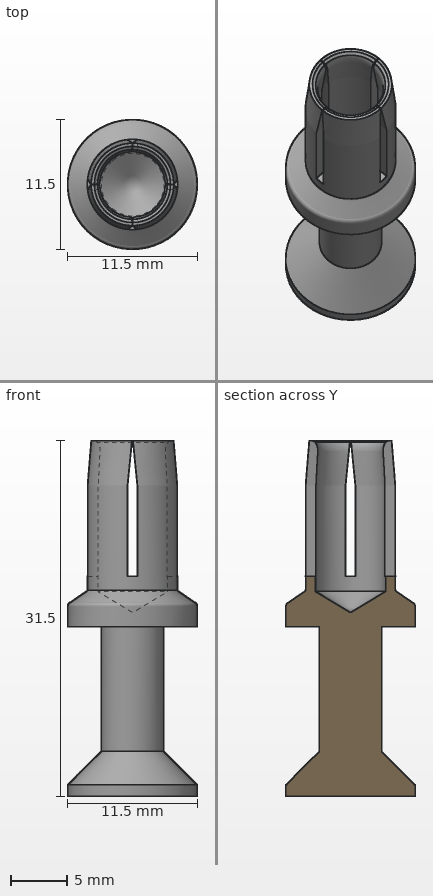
import cadquery as cq
import math

height = 31.5
flange_diameter = 11.5
flange_radius = flange_diameter / 2
foot_rim_height = 1.0
shaft_radius = 2.77
collar_bottom = 15.0
collar_rim_top = 16.82
collar_round_top = 17.2
collar_round_inset = 0.28
collar_top = 18.15

sleeve_radius = 4.0
root_flare = 0.1
finger_taper_height = 4.0
sleeve_tip_radius = 3.65
taper_start = height - finger_taper_height

bore_radius = 3.1
bore_throat_radius = 2.9
bore_chamfer_radius = 3.1
bore_mouth_radius = 3.37
throat_depth = 0.95
mouth_chamfer_depth = 0.15
bore_bottom = collar_top
drill_tip_angle = 118.0

slot_bottom = 19.5
slot_width = 0.85
slot_tip_width = 0.05

foot_cone_top = foot_rim_height + flange_radius - shaft_radius


def make_body():
    """Revolved stem: foot, shaft, collar and solid sleeve."""
    round_radius = flange_radius - collar_round_inset
    return (
        cq.Workplane("XZ")
        .moveTo(0, 0)
        .lineTo(flange_radius, 0)
        .lineTo(flange_radius, foot_rim_height)
        .lineTo(shaft_radius, foot_cone_top)
        .lineTo(shaft_radius, collar_bottom)
        .lineTo(flange_radius, collar_bottom)
        .lineTo(flange_radius, collar_rim_top)
        .tangentArcPoint((round_radius, collar_round_top), relative=False)
        .lineTo(sleeve_radius + root_flare, collar_top)
        .lineTo(sleeve_radius, collar_top + root_flare)
        .lineTo(sleeve_radius, taper_start)
        .lineTo(sleeve_tip_radius, height)
        .lineTo(0, height)
        .close()
        .revolve(360, (0, 0, 0), (0, 1, 0))
    )


def make_bore():
    """Drilled hole with a conical bottom, narrowed throat and rounded mouth."""
    tip_depth = bore_radius / math.tan(math.radians(drill_tip_angle / 2))
    throat_level = height - throat_depth
    chamfer_level = height - mouth_chamfer_depth
    return (
        cq.Workplane("XZ")
        .moveTo(0, bore_bottom - tip_depth)
        .lineTo(bore_radius, bore_bottom)
        .lineTo(bore_radius, taper_start)
        .lineTo(bore_throat_radius, throat_level)
        .tangentArcPoint((bore_chamfer_radius, chamfer_level), relative=False)
        .lineTo(bore_mouth_radius, height)
        .lineTo(0, height)
        .close()
        .revolve(360, (0, 0, 0), (0, 1, 0))
    )


def make_slot():
    """Slot cutter running through the whole sleeve along Y."""
    half_width = slot_width / 2
    half_tip = slot_tip_width / 2
    return (
        cq.Workplane("XZ")
        .polyline([
            (-half_width, slot_bottom),
            (half_width, slot_bottom),
            (half_width, taper_start),
            (half_tip, height),
            (-half_tip, height),
            (-half_width, taper_start),
        ])
        .close()
        .extrude(flange_radius, both=True)
    )


result = make_body().cut(make_bore())
for angle in (0, 90):
    result = result.cut(make_slot().rotate((0, 0, 0), (0, 0, 1), angle))